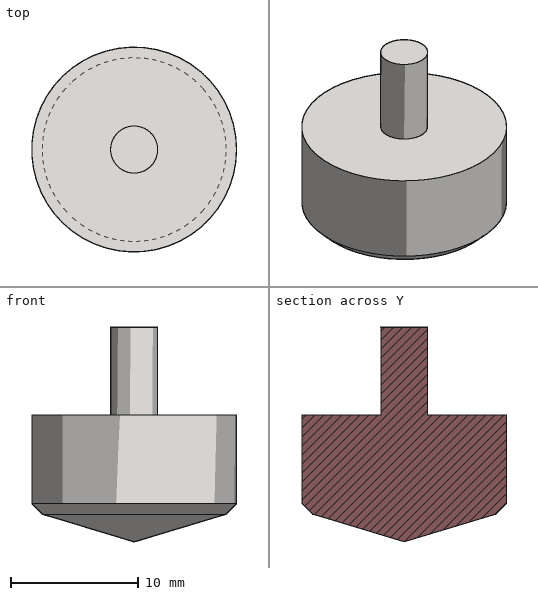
import cadquery as cq

total_height = 16.9
body_diameter = 16.12
stem_diameter = 3.7
stem_height = 6.91
body_wall_height = 6.98
chamfer = 0.83

body_radius = body_diameter / 2
stem_radius = stem_diameter / 2
cone_radius = body_radius - chamfer
body_top = total_height - stem_height
wall_bottom = body_top - body_wall_height
cone_top = wall_bottom - chamfer

half_profile = (
    cq.Workplane("XZ")
    .moveTo(0, 0)
    .lineTo(cone_radius, cone_top)
    .lineTo(body_radius, wall_bottom)
    .lineTo(body_radius, body_top)
    .lineTo(stem_radius, body_top)
    .lineTo(stem_radius, total_height)
    .lineTo(0, total_height)
    .close()
)

result = half_profile.revolve(360, (0, 0, 0), (0, 1, 0))